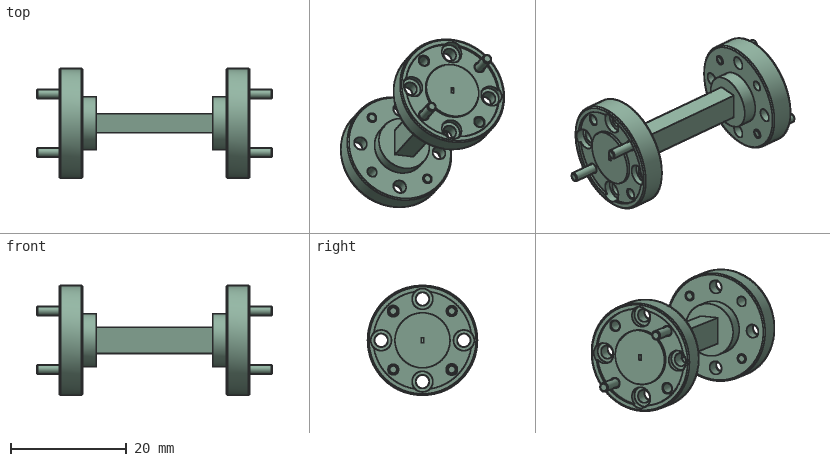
import cadquery as cq
import math

overall_length = 40.75
face_to_face = 33.02
flange_diameter = 19.05
flange_thickness = 4.08
flange_chamfer = 0.25
hub_diameter = 9.2
hub_length = 2.35
bar_width = 3.35
bar_height = 4.55

boss_diameter = 9.55
rim_inner_diameter = 17.05
recess_depth = 0.5
port_width = 0.45
port_height = 0.9

hole_circle_diameter = 14.3
screw_hole_diameter = 2.3
counterbore_diameter = 3.6
counterbore_depth = 1.5
pin_diameter = 1.6
pin_end_chamfer = 0.15
socket_diameter = 1.7
dowel_hole_chamfer = 0.12
chamfer_angle = 45

face_x = face_to_face / 2
recess_floor_x = face_x - recess_depth
inner_face_x = face_x - flange_thickness
hub_end_x = inner_face_x - hub_length
hole_radius = hole_circle_diameter / 2
port_depth = flange_thickness
screw_angles = [0, 90, 180, 270]
pin_angles = [45, 225]
socket_angles = [135, 315]


def points_on_hole_circle(angles):
    """Points at the given angles, measured from +Y towards +Z."""
    return [
        (
            hole_radius * math.cos(math.radians(angle)),
            hole_radius * math.sin(math.radians(angle)),
        )
        for angle in angles
    ]


def section_at(x):
    """Workplane facing +X at the given x, with local axes along Y and Z."""
    return cq.Workplane("YZ", origin=(x, 0, 0))


def make_dowel_holes(diameter, angles):
    """Cutters for through holes, each chamfered where it opens into the floor of the ring recess."""
    holes = (
        section_at(inner_face_x)
        .pushPoints(points_on_hole_circle(angles))
        .circle(diameter / 2)
        .extrude(recess_floor_x - inner_face_x)
    )
    mouth_chamfers = (
        section_at(recess_floor_x)
        .pushPoints(points_on_hole_circle(angles))
        .circle(diameter / 2 + dowel_hole_chamfer)
        .extrude(-dowel_hole_chamfer, taper=chamfer_angle)
    )
    return holes.union(mouth_chamfers)


def make_right_flange():
    """Flange with its hub, mating face towards +X."""
    flange = section_at(inner_face_x).circle(flange_diameter / 2).extrude(flange_thickness)
    flange = flange.edges().chamfer(flange_chamfer)
    hub = section_at(hub_end_x).circle(hub_diameter / 2).extrude(hub_length)

    ring_recess = (
        section_at(face_x)
        .circle(rim_inner_diameter / 2)
        .circle(boss_diameter / 2)
        .extrude(-recess_depth)
    )
    counterbores = (
        section_at(face_x)
        .pushPoints(points_on_hole_circle(screw_angles))
        .circle(counterbore_diameter / 2)
        .extrude(-counterbore_depth)
    )
    screw_holes = (
        section_at(face_x)
        .pushPoints(points_on_hole_circle(screw_angles))
        .circle(screw_hole_diameter / 2)
        .extrude(-flange_thickness)
    )
    pin_holes = make_dowel_holes(pin_diameter, pin_angles)
    sockets = make_dowel_holes(socket_diameter, socket_angles)
    port = section_at(face_x).rect(port_width, port_height).extrude(-port_depth)

    flange = flange.union(hub)
    for cutter in (ring_recess, counterbores, screw_holes, pin_holes, sockets, port):
        flange = flange.cut(cutter)
    return flange


def turn_to_left_end(part):
    """Half turn about Z, which carries a part of the +X end to the -X end."""
    return part.rotate((0, 0, 0), (0, 0, 1), 180)


def make_waveguide():
    """Bar with a flange at each end, as one solid."""
    bar = section_at(-hub_end_x).rect(bar_width, bar_height).extrude(2 * hub_end_x)
    right_flange = make_right_flange()
    return bar.union(right_flange).union(turn_to_left_end(right_flange))


def make_right_pin(y, z):
    """Dowel pin reaching from the inner flange face to beyond the mating face."""
    pin_length = overall_length / 2 - inner_face_x
    pin = section_at(inner_face_x).center(y, z).circle(pin_diameter / 2).extrude(pin_length)
    return pin.edges().chamfer(pin_end_chamfer)


waveguide = make_waveguide()

pins = []
for y, z in points_on_hole_circle(pin_angles):
    right_pin = make_right_pin(y, z)
    pins.append(right_pin.val())
    pins.append(turn_to_left_end(right_pin).val())

result = cq.Compound.makeCompound([waveguide.val(), *pins])